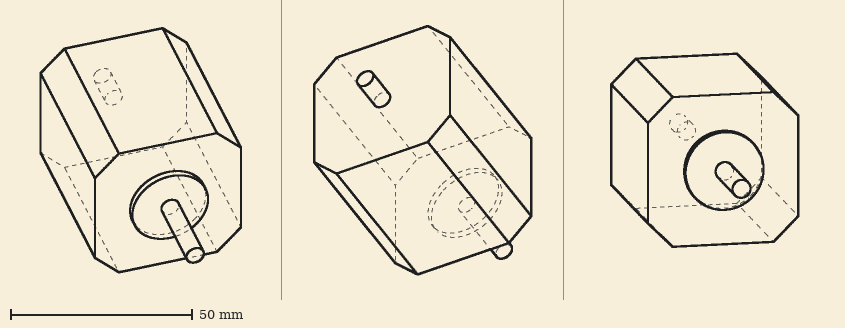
import cadquery as cq

total_length = 82.0
body_width = 42.4
body_length = 48.0
corner_chamfer = 7.0

shaft_diameter = 5.1
rear_shaft_length = 10.0
pilot_diameter = 22.0
pilot_height = 2.0

rear_end = -total_length / 2
body_rear = rear_end + rear_shaft_length
body_front = body_rear + body_length


def cylinder_along_x(diameter, start, length):
    """Round bar on the motor axis, starting at the given X."""
    return cq.Workplane("YZ", origin=(start, 0, 0)).circle(diameter / 2).extrude(length)


body = (
    cq.Workplane("YZ", origin=(body_rear, 0, 0))
    .rect(body_width, body_width)
    .extrude(body_length)
    .edges("|X")
    .chamfer(corner_chamfer)
)

pilot = cylinder_along_x(pilot_diameter, body_front, pilot_height)

shaft = cylinder_along_x(shaft_diameter, rear_end, total_length)

result = body.union(pilot).union(shaft)